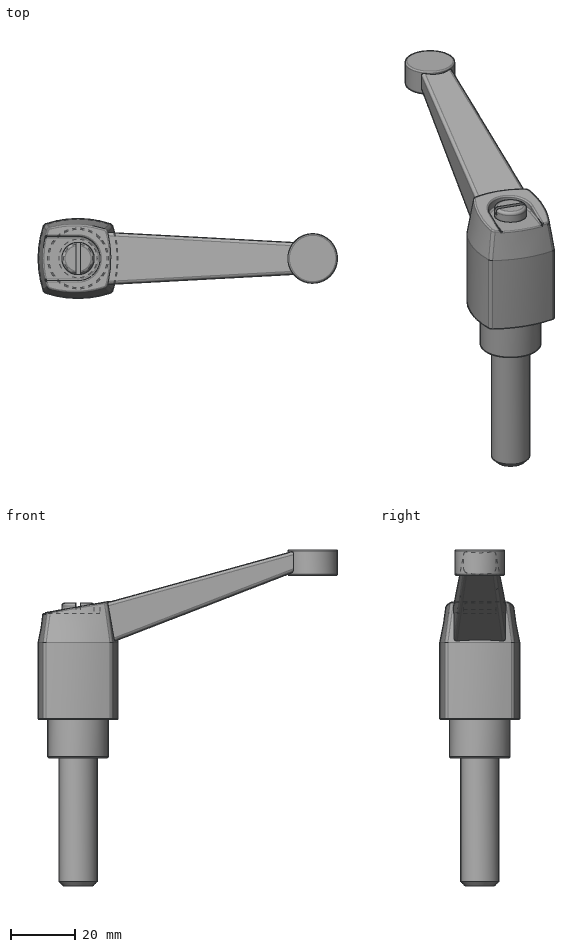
import cadquery as cq
import math

STUD_BOTTOM = -40.0
BODY_BOTTOM = 12.0
BODY_TOP = 36.0
TOTAL_TOP = 65.0

STUD_DIAMETER = 12.0
STUD_CHAMFER = 1.5
COLLAR_DIAMETER = 19.0
COLLAR_CHAMFER = 0.4

HUB_HALF_WIDTH = 12.5
CLEARANCE_SPAN = 4 * HUB_HALF_WIDTH
SIDE_RADIUS = 32.0
CORNER_RADIUS = 1.5
BODY_CHAMFER = 0.3
CAP_DRAFT = 9.5
CAP_BLANK_HEIGHT = 16.0
CAP_TILT = 10.0
CAP_AXIS_HEIGHT = 47.2
CAP_EDGE_FILLET = 0.5

POCKET_FLOOR = 45.1
POCKET_RADIUS = 6.9
POCKET_LENGTH = 2 * HUB_HALF_WIDTH
POCKET_FLOOR_FILLET = 0.5
FLOOR_LIP_FILLET = 0.4

SCREW_DIAMETER = 10.1
SCREW_TOP = 48.4
SCREW_EDGE_FILLET = 1.0
SLOT_WIDTH = 1.4
SLOT_DEPTH = 2.0

KNOB_DIAMETER = 15.5
KNOB_HEIGHT = 8.0
KNOB_FILLET = 0.5
KNOB_END_X = 81.0
KNOB_X = KNOB_END_X - KNOB_DIAMETER / 2

ARM_NEAR_X = 12.0
ARM_FAR_X = 65.6
ARM_TOP_NEAR = 49.3
ARM_TOP_FAR = 64.1
ARM_BOTTOM_NEAR = 36.7
ARM_BOTTOM_FAR = 57.4
ARM_HALF_WIDTH_NEAR = 8.0
ARM_HALF_WIDTH_FAR = 5.1
ARM_ROOT_X = 8.0
ARM_TIP_X = 68.0
ARM_FILLET = 1.0


def along_arm(near, far, x):
    """Value at x on the straight line through the near and far stations."""
    return near + (far - near) * (x - ARM_NEAR_X) / (ARM_FAR_X - ARM_NEAR_X)


def cylinder(diameter, bottom, top):
    return cq.Workplane("XY").workplane(offset=bottom).circle(diameter / 2).extrude(top - bottom)


def bulged_square(level):
    """Square of four outward arcs; each arc is centred across the hub axis."""
    center_offset = SIDE_RADIUS - HUB_HALF_WIDTH
    corner = (math.sqrt(2 * SIDE_RADIUS**2 - center_offset**2) - center_offset) / 2
    return (
        cq.Workplane("XY")
        .workplane(offset=level)
        .moveTo(-corner, -corner)
        .threePointArc((0, -HUB_HALF_WIDTH), (corner, -corner))
        .threePointArc((HUB_HALF_WIDTH, 0), (corner, corner))
        .threePointArc((0, HUB_HALF_WIDTH), (-corner, corner))
        .threePointArc((-HUB_HALF_WIDTH, 0), (-corner, -corner))
        .close()
    )


def tilted_plane():
    """Plane of the cap top, rising toward +X."""
    tilt = math.radians(CAP_TILT)
    return cq.Plane(
        origin=(0, 0, CAP_AXIS_HEIGHT),
        xDir=(math.cos(tilt), 0, math.sin(tilt)),
        normal=(-math.sin(tilt), 0, math.cos(tilt)),
    )


def make_body():
    body = bulged_square(BODY_BOTTOM).extrude(BODY_TOP - BODY_BOTTOM)
    body = body.edges("|Z").fillet(CORNER_RADIUS)
    return body.faces("<Z").edges().chamfer(BODY_CHAMFER)


def make_cap_blank():
    """Drafted cap, left tall so that the tilted top can be cut from it."""
    blank = bulged_square(BODY_TOP).extrude(CAP_BLANK_HEIGHT, taper=CAP_DRAFT)
    return blank.edges("not (<Z or >Z)").fillet(CORNER_RADIUS)


def make_top_waste():
    """Everything over the tilted cap top."""
    return cq.Workplane(tilted_plane()).circle(CLEARANCE_SPAN / 2).extrude(CAP_BLANK_HEIGHT)


def pocket_prism(bottom):
    """Prism with a round end on the hub axis, running out toward -X."""
    return (
        cq.Workplane("XY")
        .workplane(offset=bottom)
        .moveTo(-POCKET_LENGTH, -POCKET_RADIUS)
        .lineTo(0, -POCKET_RADIUS)
        .threePointArc((POCKET_RADIUS, 0), (0, POCKET_RADIUS))
        .lineTo(-POCKET_LENGTH, POCKET_RADIUS)
        .close()
        .extrude(TOTAL_TOP - bottom)
    )


def make_cap(blank):
    full_cap = blank.cut(make_top_waste())
    open_cap = full_cap.cut(pocket_prism(BODY_TOP))
    open_cap = open_cap.faces(">Z").edges().fillet(CAP_EDGE_FILLET)
    below_floor = cylinder(CLEARANCE_SPAN, BODY_TOP, POCKET_FLOOR)
    pocket = pocket_prism(POCKET_FLOOR).faces("<Z").edges().fillet(POCKET_FLOOR_FILLET)
    fillet_strip = full_cap.intersect(pocket_prism(POCKET_FLOOR)).cut(pocket)
    floor_block = full_cap.intersect(below_floor)
    floor_block = floor_block.faces(">Z").edges("<X").fillet(FLOOR_LIP_FILLET)
    return open_cap.union(floor_block).union(fillet_strip)


def make_arm():
    def section(x):
        top = along_arm(ARM_TOP_NEAR, ARM_TOP_FAR, x)
        bottom = along_arm(ARM_BOTTOM_NEAR, ARM_BOTTOM_FAR, x)
        half_width = along_arm(ARM_HALF_WIDTH_NEAR, ARM_HALF_WIDTH_FAR, x)
        return cq.Wire.makePolygon(
            [
                cq.Vector(x, -half_width, bottom),
                cq.Vector(x, half_width, bottom),
                cq.Vector(x, half_width, top),
                cq.Vector(x, -half_width, top),
            ],
            close=True,
        )

    ruled = True
    arm = cq.Workplane(cq.Solid.makeLoft([section(ARM_ROOT_X), section(ARM_TIP_X)], ruled))
    return arm.edges("not #X").fillet(ARM_FILLET)


def make_knob():
    knob = cylinder(KNOB_DIAMETER, TOTAL_TOP - KNOB_HEIGHT, TOTAL_TOP)
    knob = knob.translate((KNOB_X, 0, 0))
    return knob.faces("<Z or >Z").edges().fillet(KNOB_FILLET)


def make_screw():
    screw = cylinder(SCREW_DIAMETER, BODY_TOP, SCREW_TOP)
    screw = screw.faces(">Z").edges().fillet(SCREW_EDGE_FILLET)
    slot = (
        cq.Workplane("XY")
        .workplane(offset=SCREW_TOP - SLOT_DEPTH)
        .rect(SLOT_WIDTH, 2 * SCREW_DIAMETER)
        .extrude(2 * SLOT_DEPTH)
    )
    return screw.cut(slot)


stud = cylinder(STUD_DIAMETER, STUD_BOTTOM, BODY_BOTTOM).faces("<Z").chamfer(STUD_CHAMFER)
collar = cylinder(COLLAR_DIAMETER, 0, BODY_BOTTOM).faces("<Z").chamfer(COLLAR_CHAMFER)

cap_blank = make_cap_blank()
arm_root_waste = cap_blank.intersect(make_top_waste())
arm = make_arm().cut(arm_root_waste)
result = arm.union(make_knob()).union(make_cap(cap_blank))
result = result.union(make_body()).union(collar).union(stud).union(make_screw())